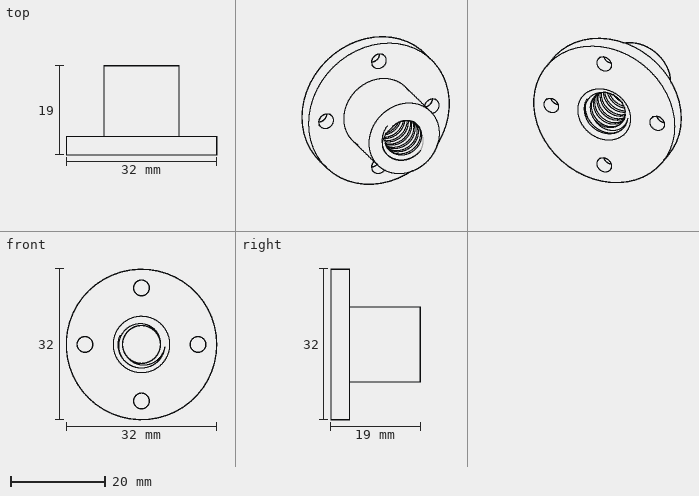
import cadquery as cq
import math

FLANGE_DIAMETER = 32.0
FLANGE_THICKNESS = 4.0
BARREL_DIAMETER = 16.0
BARREL_LENGTH = 15.0
TOTAL_LENGTH = FLANGE_THICKNESS + BARREL_LENGTH

HOLE_DIAMETER = 3.3
HOLE_CIRCLE_DIAMETER = 24.0
HOLE_COUNT = 4

THREAD_MAJOR_RADIUS = 5.0
THREAD_MINOR_RADIUS = 4.0
THREAD_PITCH = 2.0
THREAD_FLANK_ANGLE = 15.0
THREAD_MEAN_WIDTH = THREAD_PITCH / 2
THREAD_START = 0.6
PROFILE_OVERLAP = 0.3

LEAD_IN_RADIUS = 6.0
LEAD_IN_DEPTH = LEAD_IN_RADIUS - THREAD_MINOR_RADIUS


def make_body():
    """Flange with its barrel, built along local Z."""
    flange = cq.Workplane("XY").circle(FLANGE_DIAMETER / 2).extrude(FLANGE_THICKNESS)
    return flange.faces(">Z").workplane().circle(BARREL_DIAMETER / 2).extrude(BARREL_LENGTH)


def make_bore():
    """Through bore with the conical lead-in."""
    outline = [
        (0, 0),
        (LEAD_IN_RADIUS, 0),
        (THREAD_MINOR_RADIUS, LEAD_IN_DEPTH),
        (THREAD_MINOR_RADIUS, TOTAL_LENGTH),
        (0, TOTAL_LENGTH),
    ]
    return cq.Workplane("XZ").polyline(outline).close().revolve(360, (0, 0, 0), (0, 1, 0))


def make_mounting_holes():
    """Cutters for the ring of holes through the flange."""
    return (
        cq.Workplane("XY")
        .polarArray(HOLE_CIRCLE_DIAMETER / 2, 0, 360, HOLE_COUNT)
        .circle(HOLE_DIAMETER / 2)
        .extrude(FLANGE_THICKNESS)
    )


def groove_half_width(radius):
    """Half the axial width of the thread groove at a given radius."""
    mean_radius = (THREAD_MAJOR_RADIUS + THREAD_MINOR_RADIUS) / 2
    return THREAD_MEAN_WIDTH / 2 + (mean_radius - radius) * math.tan(math.radians(THREAD_FLANK_ANGLE))


def make_thread_groove():
    """Helical groove cutter that runs out past the barrel end."""
    inner_radius = THREAD_MINOR_RADIUS - PROFILE_OVERLAP
    inner_half = groove_half_width(inner_radius)
    outer_half = groove_half_width(THREAD_MAJOR_RADIUS)
    profile = [
        (inner_radius, THREAD_START - inner_half),
        (THREAD_MAJOR_RADIUS, THREAD_START - outer_half),
        (THREAD_MAJOR_RADIUS, THREAD_START + outer_half),
        (inner_radius, THREAD_START + inner_half),
    ]
    helix = cq.Wire.makeHelix(
        THREAD_PITCH,
        TOTAL_LENGTH + THREAD_PITCH - THREAD_START,
        THREAD_MINOR_RADIUS,
        center=cq.Vector(0, 0, THREAD_START),
    )
    return cq.Workplane("XZ").polyline(profile).close().sweep(helix, isFrenet=True)


nut = make_body().cut(make_mounting_holes()).cut(make_thread_groove()).cut(make_bore())

result = nut.rotate((0, 0, 0), (1, 0, 0), -90)